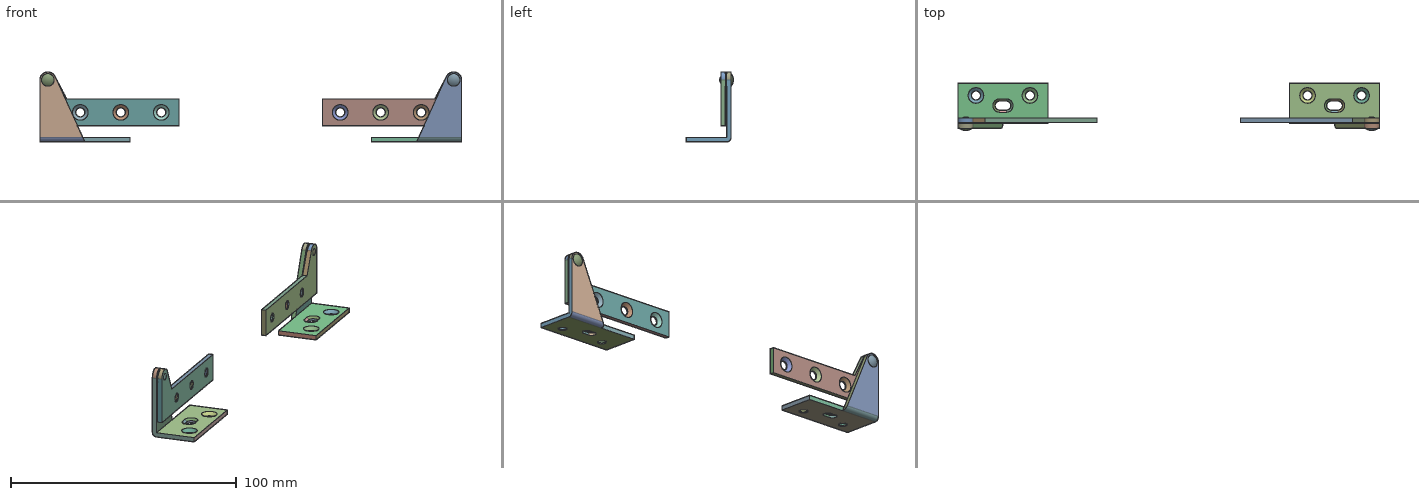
import cadquery as cq
import math


PAIR_LENGTH = 187.0
SHEET = 2.0

TIP_RADIUS = 3.5
PIVOT_X = TIP_RADIUS
PIVOT_Z = 27.5

HEAD_RADIUS = 2.8
HEAD_HEIGHT = 1.0
SHANK_RADIUS = 1.5
TAIL_HEIGHT = 0.5

WASHER_THICKNESS = 0.5
WASHER_RADIUS = HEAD_RADIUS

SCREW_DIAMETER = 4.0
SINK_DIAMETER = 7.0

FLANGE_LENGTH = 40.0
FLANGE_DEPTH = 20.0
WEB_FOOT = FLANGE_LENGTH / 2
FLANGE_HOLE_PITCH = 24.0
FLANGE_HOLE_INSET = 5.5
SLOT_INSET = 10.0
SLOT_LENGTH = 7.0
SLOT_WIDTH = SCREW_DIAMETER
SLOT_CHAMFER = 1.0
SLOT_TAPER = 45.0

ARM_LENGTH = 61.7
BAR_BOTTOM = 7.1
BAR_WIDTH = 12.0
BAR_TOP = BAR_BOTTOM + BAR_WIDTH
ARM_SHOULDER = 12.0
ARM_HOLE_COUNT = 3
ARM_HOLE_PITCH = 18.0

ARM_FRONT = SHEET + WASHER_THICKNESS
ARM_REAR = ARM_FRONT + SHEET


def slant_tangent(foot_x, foot_z):
    """Point where the edge rising from the foot touches the rounded tip."""
    across = foot_x - PIVOT_X
    down = PIVOT_Z - foot_z
    to_foot = math.atan2(-down, across)
    touch = to_foot + math.acos(TIP_RADIUS / math.hypot(across, down))
    return PIVOT_X + TIP_RADIUS * math.cos(touch), PIVOT_Z + TIP_RADIUS * math.sin(touch)


def upright_plate(lower_edge, front, rear):
    """Sheet in the XZ plane: straight left side, rounded tip, slanted side, then lower_edge.

    lower_edge runs from the foot of the slanted side to the bottom of the left side.
    """
    outline = (
        cq.Workplane("XZ", origin=(0, front, 0))
        .moveTo(0, PIVOT_Z)
        .threePointArc((PIVOT_X, PIVOT_Z + TIP_RADIUS), slant_tangent(*lower_edge[0]))
    )
    for corner in lower_edge:
        outline = outline.lineTo(*corner)
    return outline.close().extrude(front - rear)


def rod(radius, front, rear):
    """Cylinder on the pivot axis."""
    return cq.Workplane("XZ", origin=(PIVOT_X, front, PIVOT_Z)).circle(radius).extrude(front - rear)


def countersunk_hole():
    """Cutter for one screw hole: along -Z from the origin, which lies on the entry face."""
    sink_depth = (SINK_DIAMETER - SCREW_DIAMETER) / 2
    return (
        cq.Workplane("XZ")
        .lineTo(SINK_DIAMETER / 2, 0)
        .lineTo(SCREW_DIAMETER / 2, -sink_depth)
        .lineTo(SCREW_DIAMETER / 2, -SHEET)
        .lineTo(0, -SHEET)
        .close()
        .revolve(360, (0, 0), (0, 1))
    )


def make_bracket():
    web = upright_plate([(WEB_FOOT, 0), (0, 0)], 0, SHEET)
    flange = cq.Workplane("XY").box(FLANGE_LENGTH, FLANGE_DEPTH - SHEET, SHEET, centered=False)
    bracket = web.union(flange.translate((0, SHEET, 0)))

    bend_block = cq.Workplane("XY").box(WEB_FOOT, SHEET, SHEET, centered=False)
    bend_round = cq.Workplane("YZ", origin=(0, SHEET, SHEET)).circle(SHEET).extrude(WEB_FOOT)
    bracket = bracket.cut(bend_block.cut(bend_round))

    for side in (-1, 1):
        hole_x = FLANGE_LENGTH / 2 + side * FLANGE_HOLE_PITCH / 2
        hole_y = FLANGE_DEPTH - FLANGE_HOLE_INSET
        bracket = bracket.cut(countersunk_hole().translate((hole_x, hole_y, SHEET)))

    slot_top = cq.Workplane("XY", origin=(FLANGE_LENGTH / 2, FLANGE_DEPTH - SLOT_INSET, SHEET))
    slot = slot_top.slot2D(SLOT_LENGTH, SLOT_WIDTH).extrude(-SHEET)
    slot_mouth = (
        slot_top.slot2D(SLOT_LENGTH + 2 * SLOT_CHAMFER, SLOT_WIDTH + 2 * SLOT_CHAMFER)
        .extrude(-SLOT_CHAMFER, taper=SLOT_TAPER)
    )
    bracket = bracket.cut(slot).cut(slot_mouth)
    return bracket.cut(rod(SHANK_RADIUS, 0, SHEET))


def make_arm():
    bar_edges = [
        (ARM_SHOULDER, BAR_TOP),
        (ARM_LENGTH, BAR_TOP),
        (ARM_LENGTH, BAR_BOTTOM),
        (0, BAR_BOTTOM),
    ]
    arm = upright_plate(bar_edges, ARM_FRONT, ARM_REAR)
    front_hole = countersunk_hole().rotate((0, 0, 0), (1, 0, 0), 90)
    for number in range(1, ARM_HOLE_COUNT + 1):
        hole_place = (number * ARM_HOLE_PITCH, ARM_FRONT, BAR_BOTTOM + BAR_WIDTH / 2)
        arm = arm.cut(front_hole.translate(hole_place))
    return arm.cut(rod(SHANK_RADIUS, ARM_FRONT, ARM_REAR))


def make_washer():
    return rod(WASHER_RADIUS, SHEET, ARM_FRONT).cut(rod(SHANK_RADIUS, SHEET, ARM_FRONT))


def cap_ball_radius(base_radius, height):
    """Radius of the ball that a spherical cap is cut from."""
    return (base_radius**2 + height**2) / (2 * height)


def make_rivet():
    """Half section turned about the pivot axis: domed head, shank, domed tail."""
    head_ball = cap_ball_radius(HEAD_RADIUS, HEAD_HEIGHT)
    tail_ball = cap_ball_radius(SHANK_RADIUS, TAIL_HEIGHT)
    return (
        cq.Workplane("XY", origin=(PIVOT_X, 0, PIVOT_Z))
        .moveTo(0, -HEAD_HEIGHT)
        .radiusArc((HEAD_RADIUS, 0), -head_ball)
        .lineTo(SHANK_RADIUS, 0)
        .lineTo(SHANK_RADIUS, ARM_REAR)
        .radiusArc((0, ARM_REAR + TAIL_HEIGHT), -tail_ball)
        .close()
        .revolve(360, (0, 0), (0, 1))
    )


bodies = []
for make_body in (make_bracket, make_arm, make_washer, make_rivet):
    left = make_body().translate((-PAIR_LENGTH / 2, 0, 0))
    right = left.mirror("YZ")
    bodies.extend([*left.solids().vals(), *right.solids().vals()])

result = cq.Compound.makeCompound(bodies)